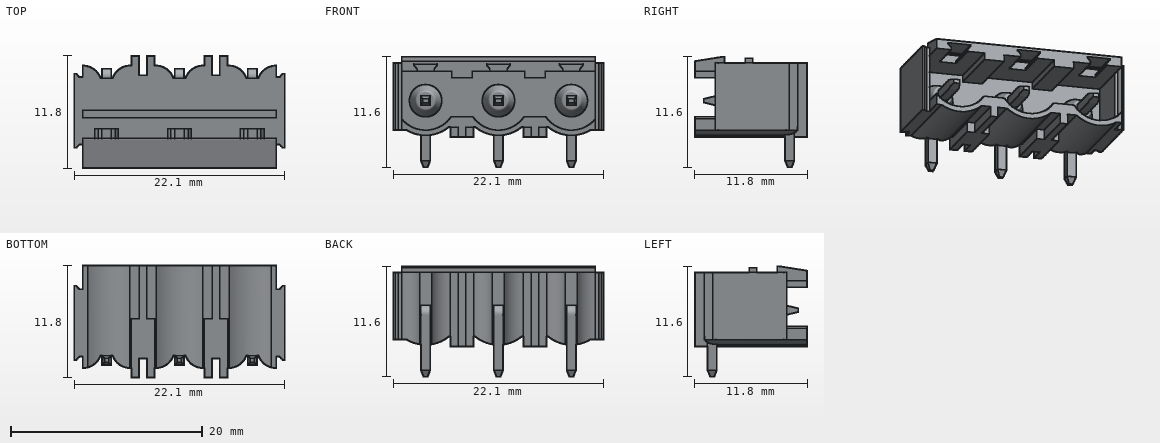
import cadquery as cq
import math


CONTACTS = 3
PITCH = 7.63
AXIS_Z = 3.81

LENGTH = 22.05
DEPTH = 11.75
TOP_Z = 7.75
BASE_Z = 0.73

REAR_Y = 10.75
CAVITY_DEPTH = 7.71
LID_UNDERSIDE_Z = 6.9
UNDERSIDE_Z = 1.05
SADDLE_Z = 2.14
TROUGH_CENTER_Z = 4.0
TROUGH_RADIUS = 3.26
FLOOR_THICKNESS = 0.55

KEY_WIDTH = 2.14
KEY_HEIGHT = 0.7

LATCH_LENGTH_Y = 3.13
LATCH_FLAT = 0.2
LATCH_TOP_Z = 8.42
LATCH_FRONT_Z = 7.95

RIB_FRONT_Y = 5.27
RIB_WIDTH = 0.8
RIB_HEIGHT = 0.5

SLOT_DEPTH = 4.12
SLOT_WIDTH = 2.5
SLOT_NECK_WIDTH = 1.79
SLOT_NECK_TOP_Z = 7.12
SLOT_SHOULDER_Z = 7.55
SLOT_ROOF_Z = 7.65

LIP_FRONT_Y = 2.12
LIP_REAR_Y = 9.9
LIP_STEP = 0.35
LIP_WIDTH = 0.22
LIP_SLOPE_WIDTH = 0.33

LOBE_RADIUS = 2.0
LOBE_OFFSET = 2.51
RECESS_Y = 9.43

FOOT_WIDTH = 2.42
FOOT_FRONT_Y = 5.6
NOTCH_WIDTH = 0.8
NOTCH_Y = 9.75

BOSS_LENGTH = 1.85
BOSS_BASE_RADIUS = 1.7
BOSS_TIP_RADIUS = 1.01
BOSS_ROUNDING = 0.22

PIN_SIZE = 1.0
PIN_FRONT_Y = 0.93
PIN_BOTTOM_Z = -3.17
NOSE_TIP_WIDTH = 0.65
NOSE_TIP_HEIGHT = 0.4
NOSE_SIDE_TAPER = 0.75
NOSE_TOP_TAPER = 1.23
LEG_TAPER = 0.73
LEG_TIP_WIDTH = 0.42

SPAN = PITCH * (CONTACTS - 1)
CONTACT_XS = [i * PITCH - SPAN / 2 for i in range(CONTACTS)]
GAP_XS = [x + PITCH / 2 for x in CONTACT_XS[:-1]]
SHELL_HALF = SPAN / 2 + LOBE_OFFSET


def box(x0, x1, y0, y1, z0, z1):
    return cq.Workplane("XY").box(x1 - x0, y1 - y0, z1 - z0, centered=False).translate((x0, y0, z0))


def centered_box(x, width, y0, y1, z0, z1):
    return box(x - width / 2, x + width / 2, y0, y1, z0, z1)


def swept_along_x(points_yz, x0, x1):
    return cq.Workplane("YZ").polyline(points_yz).close().extrude(x1 - x0).translate((x0, 0, 0))


def swept_along_y(section, y0, y1):
    """Extrude an XZ section from y0 to y1."""
    return section.extrude(y0 - y1).translate((0, y0, 0))


def troughs(radius, flat_z, depth):
    """Row of round troughs up to the lid underside, one per contact, with flats at flat_z between."""
    row = box(-SHELL_HALF, SHELL_HALF, 0, depth, TROUGH_CENTER_Z, LID_UNDERSIDE_Z)
    for x in GAP_XS:
        row = row.union(centered_box(x, PITCH / 2, 0, depth, flat_z, LID_UNDERSIDE_Z))
    for x in CONTACT_XS:
        disc = cq.Workplane("XZ").center(x, TROUGH_CENTER_Z).circle(radius)
        row = row.union(swept_along_y(disc, 0, depth))
    return row.intersect(box(-SHELL_HALF, SHELL_HALF, 0, depth, 0, LID_UNDERSIDE_Z))


def make_shell():
    """Block with a scalloped underside, hollowed from the plug face."""
    shell = troughs(TROUGH_RADIUS + FLOOR_THICKNESS, UNDERSIDE_Z, REAR_Y)
    shell = shell.union(box(-SHELL_HALF, -SPAN / 2, 0, REAR_Y, BASE_Z, LID_UNDERSIDE_Z))
    shell = shell.union(box(SPAN / 2, SHELL_HALF, 0, REAR_Y, BASE_Z, LID_UNDERSIDE_Z))
    shell = shell.union(box(-SHELL_HALF, SHELL_HALF, 0, REAR_Y, LID_UNDERSIDE_Z, TOP_Z))
    return shell.cut(troughs(TROUGH_RADIUS, SADDLE_Z, CAVITY_DEPTH))


def make_latch():
    profile = [
        (0, LID_UNDERSIDE_Z),
        (0, LATCH_FRONT_Z),
        (LATCH_LENGTH_Y - LATCH_FLAT, LATCH_TOP_Z),
        (LATCH_LENGTH_Y, LATCH_TOP_Z),
        (LATCH_LENGTH_Y, LID_UNDERSIDE_Z),
    ]
    return swept_along_x(profile, -SHELL_HALF, SHELL_HALF)


def make_end_wall():
    """Wall at the +X end; its lips stand out along the outer face."""
    front_y = LIP_FRONT_Y + LIP_STEP
    rear_y = LIP_REAR_Y - LIP_STEP
    outer_x = LENGTH / 2
    lip_x = outer_x - LIP_WIDTH
    slope_x = lip_x - LIP_SLOPE_WIDTH
    plan = [
        (SHELL_HALF, front_y),
        (slope_x, front_y),
        (lip_x, LIP_FRONT_Y),
        (outer_x, LIP_FRONT_Y),
        (outer_x, LIP_REAR_Y),
        (lip_x, LIP_REAR_Y),
        (slope_x, rear_y),
        (SHELL_HALF, rear_y),
    ]
    wall = cq.Workplane("XY").polyline(plan).close().extrude(TOP_Z - BASE_Z)
    return wall.translate((0, 0, BASE_Z))


def make_top_rib():
    rear_y = RIB_FRONT_Y + RIB_WIDTH
    return box(-SHELL_HALF, SHELL_HALF, RIB_FRONT_Y, rear_y, TOP_Z, TOP_Z + RIB_HEIGHT)


def make_key(x):
    """Block hanging from the lid between two contacts."""
    return centered_box(x, KEY_WIDTH, 0, CAVITY_DEPTH, LID_UNDERSIDE_Z - KEY_HEIGHT, LID_UNDERSIDE_Z)


def make_foot(x):
    """Full-height rear tab and the foot below it, with a narrow rib running on to the plug face."""
    tab = centered_box(x, FOOT_WIDTH, RECESS_Y, DEPTH, 0, TOP_Z)
    foot = centered_box(x, FOOT_WIDTH, FOOT_FRONT_Y, RECESS_Y, 0, UNDERSIDE_Z)
    rib = centered_box(x, NOTCH_WIDTH, 0, FOOT_FRONT_Y, 0, UNDERSIDE_Z)
    return tab.union(foot).union(rib)


def make_rear_notch(x):
    """Slot that splits a rear tab in two."""
    return centered_box(x, NOTCH_WIDTH, NOTCH_Y, DEPTH, 0, TOP_Z)


def make_leg_recess(x):
    """Rear recess between two quarter-round lobes, through the full height."""
    lobe_y = REAR_Y - LOBE_RADIUS
    floor_half = LOBE_OFFSET - math.sqrt(LOBE_RADIUS**2 - (RECESS_Y - lobe_y) ** 2)
    middle_angle = (math.pi / 2 + math.asin((RECESS_Y - lobe_y) / LOBE_RADIUS)) / 2
    arc_x = LOBE_OFFSET - LOBE_RADIUS * math.cos(middle_angle)
    arc_y = lobe_y + LOBE_RADIUS * math.sin(middle_angle)
    plan = (
        cq.Workplane("XY")
        .moveTo(-LOBE_OFFSET, REAR_Y)
        .threePointArc((-arc_x, arc_y), (-floor_half, RECESS_Y))
        .lineTo(floor_half, RECESS_Y)
        .threePointArc((arc_x, arc_y), (LOBE_OFFSET, REAR_Y))
        .close()
    )
    return plan.extrude(TOP_Z).translate((x, 0, 0))


def make_coding_slot(x):
    """Dovetail groove in the lid underside, open through the top behind the latch."""
    half = SLOT_WIDTH / 2
    neck = SLOT_NECK_WIDTH / 2
    outline = [
        (-neck, LID_UNDERSIDE_Z),
        (-neck, SLOT_NECK_TOP_Z),
        (-half, SLOT_SHOULDER_Z),
        (-half, SLOT_ROOF_Z),
        (half, SLOT_ROOF_Z),
        (half, SLOT_SHOULDER_Z),
        (neck, SLOT_NECK_TOP_Z),
        (neck, LID_UNDERSIDE_Z),
    ]
    groove = swept_along_y(cq.Workplane("XZ").polyline(outline).close(), 0, SLOT_DEPTH)
    window = centered_box(0, SLOT_WIDTH, LATCH_LENGTH_Y, SLOT_DEPTH, SLOT_ROOF_Z, TOP_Z)
    return groove.union(window).translate((x, 0, 0))


def make_boss(x):
    """Tapered boss on the back wall of the cavity, rounded at its tip."""
    base = cq.Workplane("XZ", origin=(x, CAVITY_DEPTH, AXIS_Z)).circle(BOSS_BASE_RADIUS)
    taper = math.degrees(math.atan2(BOSS_BASE_RADIUS - BOSS_TIP_RADIUS, BOSS_LENGTH))
    return base.extrude(BOSS_LENGTH, taper=taper).faces("<Y").edges().fillet(BOSS_ROUNDING)


def make_arm_hole(x):
    half = PIN_SIZE / 2
    return centered_box(x, PIN_SIZE, 0, RECESS_Y, AXIS_Z - half, AXIS_Z + half)


def make_housing():
    end_wall = make_end_wall()
    housing = make_shell().union(make_latch()).union(make_top_rib())
    housing = housing.union(end_wall).union(end_wall.mirror("YZ"))
    for x in CONTACT_XS:
        housing = housing.cut(make_leg_recess(x)).cut(make_coding_slot(x))
        housing = housing.union(make_boss(x)).cut(make_arm_hole(x))
    for x in GAP_XS:
        housing = housing.union(make_key(x)).union(make_foot(x)).cut(make_rear_notch(x))
    return housing


def make_bent_wire():
    """Side outline of a contact at full width: arm, round bend and leg, narrowed in Z and Y."""
    half = PIN_SIZE / 2
    top_z = AXIS_Z + half
    bottom_z = AXIS_Z - half
    bevel_y = PIN_FRONT_Y + NOSE_TOP_TAPER
    rear_y = RECESS_Y + PIN_SIZE
    leg_y = RECESS_Y + half
    taper_z = PIN_BOTTOM_Z + LEG_TAPER
    bend = PIN_SIZE * math.sqrt(0.5)
    outline = (
        cq.Workplane("YZ")
        .moveTo(PIN_FRONT_Y, AXIS_Z - NOSE_TIP_HEIGHT / 2)
        .lineTo(PIN_FRONT_Y, AXIS_Z + NOSE_TIP_HEIGHT / 2)
        .lineTo(bevel_y, top_z)
        .lineTo(RECESS_Y, top_z)
        .threePointArc((RECESS_Y + bend, bottom_z + bend), (rear_y, bottom_z))
        .lineTo(rear_y, taper_z)
        .lineTo(leg_y + LEG_TIP_WIDTH / 2, PIN_BOTTOM_Z)
        .lineTo(leg_y - LEG_TIP_WIDTH / 2, PIN_BOTTOM_Z)
        .lineTo(RECESS_Y, taper_z)
        .lineTo(RECESS_Y, bottom_z)
        .lineTo(bevel_y, bottom_z)
        .close()
    )
    return outline.extrude(half, both=True)


def tapered_strip(plane, start, taper_end, end, tip_width):
    """Outline of pin width about X = 0, narrowing to tip_width at start."""
    half = PIN_SIZE / 2
    tip = tip_width / 2
    points = [(-tip, start), (tip, start), (half, taper_end), (half, end), (-half, end), (-half, taper_end)]
    return cq.Workplane(plane).polyline(points).close()


def make_contact(x):
    """Square wire bent down at the rear, all four sides tapered at both ends."""
    rear_y = RECESS_Y + PIN_SIZE
    top_z = AXIS_Z + PIN_SIZE / 2
    nose_end_y = PIN_FRONT_Y + NOSE_SIDE_TAPER
    nose = tapered_strip("XY", PIN_FRONT_Y, nose_end_y, rear_y, NOSE_TIP_WIDTH)
    nose = nose.extrude(top_z - PIN_BOTTOM_Z).translate((0, 0, PIN_BOTTOM_Z))
    leg = tapered_strip("XZ", PIN_BOTTOM_Z, PIN_BOTTOM_Z + LEG_TAPER, top_z, LEG_TIP_WIDTH)
    leg = swept_along_y(leg, 0, rear_y)
    return make_bent_wire().intersect(nose).intersect(leg).translate((x, 0, 0))


housing = make_housing()
contacts = [make_contact(x) for x in CONTACT_XS]

result = cq.Compound.makeCompound([housing.solids().val(), *[contact.val() for contact in contacts]])